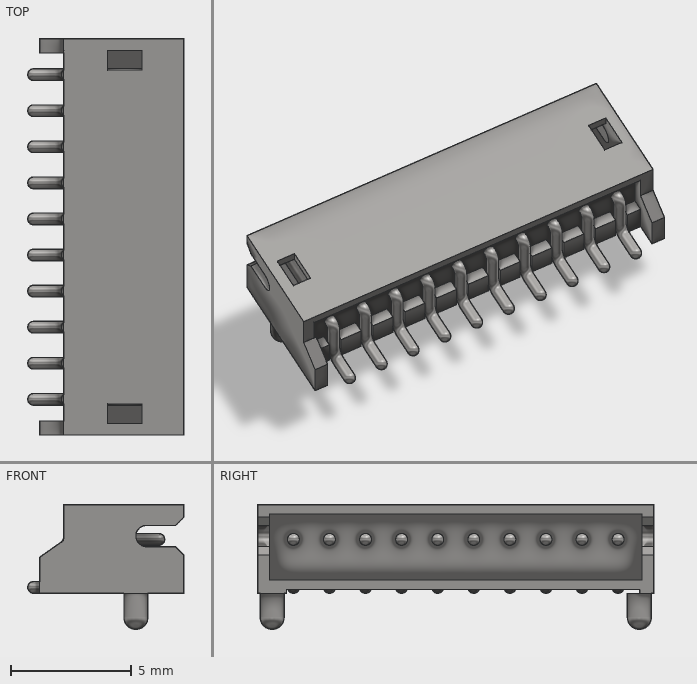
import cadquery as cq


length = 16.5
depth = 5.0
height = 3.7
side_wall = 0.5
top_wall = 0.4
floor_wall = 0.4
standoff = 0.15
half_length = length / 2

cheek = 0.6
ear_reach = 1.0
ear_low = 1.5
ear_high = 2.21

slot_low = 1.95
slot_high = 2.82
slot_depth = 2.0
slot_lead_in = 0.35

window_rear = 1.83
window_front = 3.25
window_width = 0.81

pin_count = 10
pitch = 1.5
pin_dia = 0.5
pin_radius = pin_dia / 2
tail_reach = 1.5
contact_setback = 0.8
contact_z = 2.25
riser_x = 0.15
tail_bend = 0.5
contact_bend = pin_radius

comb_top = 1.24
comb_gap = 0.56
recess_depth = 0.5

peg_dia = 1.0
peg_drop = 1.5
peg_inset = 0.61
peg_x = depth - slot_depth

pin_positions = [(i - (pin_count - 1) / 2) * pitch for i in range(pin_count)]


def block(x0, x1, y0, y1, z0, z1):
    """Box between two opposite corners."""
    return cq.Workplane("XY").box(x1 - x0, y1 - y0, z1 - z0, centered=False).translate((x0, y0, z0))


def make_shell():
    """Housing with end cheeks, hollow from the mating face and recessed at the rear."""
    profile = [
        (-ear_reach, 0), (depth, 0), (depth, height), (0, height), (0, ear_high), (-ear_reach, ear_low),
    ]
    shell = cq.Workplane("XZ").polyline(profile).close().extrude(half_length, both=True)

    between_cheeks = half_length - cheek
    inside = half_length - side_wall
    ear_gap = block(-ear_reach, 0, -between_cheeks, between_cheeks, 0, height)
    wide_foot_edge = pin_positions[0] - comb_gap / 2
    foot_gap = block(0, depth, wide_foot_edge, between_cheeks, 0, standoff)
    cavity = block(window_rear, depth, -inside, inside, standoff + floor_wall, height - top_wall)
    recess = block(0, recess_depth, -between_cheeks, inside, comb_top, height - top_wall)
    return shell.cut(ear_gap).cut(foot_gap).cut(cavity).cut(recess)


def make_latch_slot():
    """Round-ended slot with a flared mouth, running through both end walls."""
    radius = (slot_high - slot_low) / 2
    end_x = depth - slot_depth
    return (
        cq.Workplane("XZ")
        .moveTo(depth, slot_low - slot_lead_in)
        .lineTo(depth - slot_lead_in, slot_low)
        .lineTo(end_x + radius, slot_low)
        .threePointArc((end_x, slot_low + radius), (end_x + radius, slot_high))
        .lineTo(depth - slot_lead_in, slot_high)
        .lineTo(depth, slot_high + slot_lead_in)
        .close()
        .extrude(half_length, both=True)
    )


def make_window(side):
    """Roof opening flush with the inner face of one end wall."""
    outer = half_length - side_wall
    y0, y1 = sorted((side * outer, side * (outer - window_width)))
    return block(window_rear, window_front, y0, y1, height - top_wall, height)


def make_comb_gap(y):
    """Square groove below the recess that clears one pin."""
    return block(0, recess_depth, y - comb_gap / 2, y + comb_gap / 2, standoff, comb_top)


def make_pin():
    """Doubly bent round pin with hemispherical ends."""
    tail_x = -tail_reach + pin_radius
    contact_x = depth - contact_setback - pin_radius
    tail_z = pin_radius
    diagonal = 0.5 ** 0.5
    path = (
        cq.Workplane("XZ")
        .moveTo(tail_x, tail_z)
        .lineTo(riser_x - tail_bend, tail_z)
        .threePointArc(
            (riser_x - tail_bend * (1 - diagonal), tail_z + tail_bend * (1 - diagonal)),
            (riser_x, tail_z + tail_bend),
        )
        .lineTo(riser_x, contact_z - contact_bend)
        .threePointArc(
            (riser_x + contact_bend * (1 - diagonal), contact_z - contact_bend * (1 - diagonal)),
            (riser_x + contact_bend, contact_z),
        )
        .lineTo(contact_x, contact_z)
    )
    wire = cq.Workplane("YZ", origin=(tail_x, 0, tail_z)).circle(pin_radius).sweep(path)
    tail_tip = cq.Workplane("XY").sphere(pin_radius).translate((tail_x, 0, tail_z))
    contact_tip = cq.Workplane("XY").sphere(pin_radius).translate((contact_x, 0, contact_z))
    return wire.union(tail_tip).union(contact_tip)


def make_peg(side):
    """Round-nosed locating peg under the inner edge of one end foot."""
    radius = peg_dia / 2
    y = side * (half_length - peg_inset)
    shank = cq.Workplane("XY", origin=(peg_x, y, 0)).circle(radius).extrude(radius - peg_drop)
    tip = cq.Workplane("XY").sphere(radius).translate((peg_x, y, radius - peg_drop))
    return shank.union(tip)


result = make_shell().cut(make_latch_slot())
for side in (-1, 1):
    result = result.cut(make_window(side)).union(make_peg(side))
for y in pin_positions:
    result = result.cut(make_comb_gap(y))
pin = make_pin()
for y in pin_positions:
    result = result.union(pin.translate((0, y, 0)))